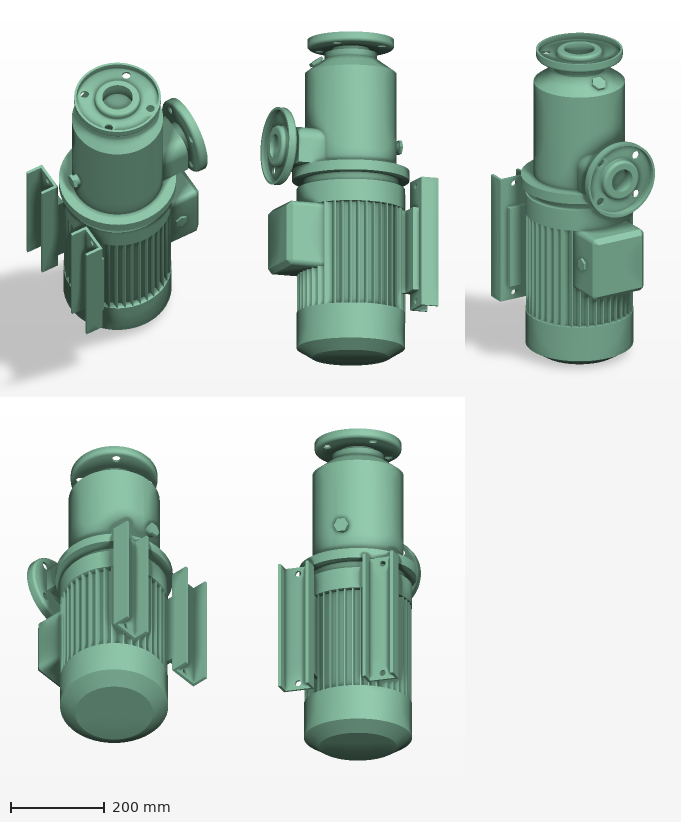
import cadquery as cq
import math

TOTAL_HEIGHT = 690.5
COWL_CONE_TOP = 20.0
COWL_TOP = 97.0
FINS_TOP = 319.0
MOTOR_BODY_TOP = 365.0
FLANGE_BOTTOM = 384.0
FLANGE_TOP = 405.0
BARREL_TOP = 617.0
SHOULDER_TOP = 648.0
HUB_TOP = 661.0

COWL_BASE_RADIUS = 83.0
COWL_RADIUS = 115.0
MOTOR_NECK_RADIUS = 101.5
FLANGE_RADIUS = 125.0

FIN_ROOT_RADIUS = 101.0
FIN_TIP_RADIUS = 114.0
FIN_THICKNESS = 2.0
FIN_PITCH_ANGLE = 8.6
FINS_PER_HALF_SIDE = 5

EMBED = 7.0

BOX_WIDTH = 127.0
BOX_OUTER_Y = 168.5
BOX_TOP = FINS_TOP
BOX_BOTTOM = 179.5
BOX_ROUND = 11.0
BOX_CHAMFER = 10.5
GLAND_FLATS = 25.0
GLAND_LENGTH = 5.0
GLAND_Y = 119.0

CHANNEL_OUTER_X = 129.0
CHANNEL_WIDTH = 68.5
CHANNEL_THICKNESS = 6.0
CHANNEL_WEB_Y = -111.0
CHANNEL_TIP_Y = -150.0
CHANNEL_TOP = 378.0
CHANNEL_BOTTOM = 99.5
CHANNEL_HOLE_DIAMETER = 13.0
CHANNEL_HOLE_INSET = 14.5

PAD_OUTER_X = 113.0
PAD_TOP_Y = -98.0
PAD_TOP = 313.5
PAD_BOTTOM = 134.5
LEG_THICKNESS = 9.0
LEG_ROOT_Y = -69.0

BARREL_RADIUS = 97.5
HUB_RADIUS = 56.0

SHEET = 5.0
DISH_HEIGHT = 19.0
DISH_ROUND = 6.0
BOLT_HOLE_DIAMETER = 18.0
BOLT_COUNT = 4
FACE_ROUND = 6.0
FLOOR_ROUND = 3.0
BORE_DEPTH = 31.0

INLET_RADIUS = 92.5
INLET_BOLT_CIRCLE = 145.0
INLET_FACE_RADIUS = 48.0
INLET_BORE_RADIUS = 32.5
INLET_NECK_RADIUS = 39.5
INLET_NECK_ROOT_RADIUS = 43.5

OUTLET_RADIUS = 83.0
OUTLET_BOLT_CIRCLE = 125.0
OUTLET_FACE_RADIUS = 43.5
OUTLET_BORE_RADIUS = 25.5
OUTLET_NECK_RADIUS = 34.5
OUTLET_Z = 447.5
OUTLET_FACE_Y = 175.5
OUTLET_RIM_SETBACK = 1.5

BRANCH_WIDTH = 110.5
BRANCH_TOP = 486.0
BRANCH_ROUND = 30.0
BRANCH_OUTER_Y = 141.0

PLUG_FLATS = 28.0
PLUG_STEM_DIAMETER = 24.0
PLUG_HEAD = 7.0
DRAIN_Z = 465.5
DRAIN_STAND_OFF = 10.0
VENT_RADIUS = 76.0
VENT_STAND_OFF = 2.0


def cylinder(radius, bottom, top):
    return cq.Workplane("XY").workplane(offset=bottom).circle(radius).extrude(top - bottom)


def block(x_range, y_range, z_range):
    size = [high - low for low, high in (x_range, y_range, z_range)]
    corner = (x_range[0], y_range[0], z_range[0])
    return cq.Workplane("XY").box(*size, centered=False).translate(corner)


def hexagon(plane, flats, length):
    """Hexagonal prism with two corners on the local X axis of the plane."""
    return cq.Workplane(plane).polygon(6, flats / math.cos(math.pi / 6)).extrude(length)


def motor_core():
    profile = [
        (0, 0),
        (COWL_BASE_RADIUS, 0),
        (COWL_RADIUS, COWL_CONE_TOP),
        (COWL_RADIUS, COWL_TOP),
        (FIN_ROOT_RADIUS, COWL_TOP),
        (FIN_ROOT_RADIUS, FINS_TOP),
        (COWL_RADIUS, FINS_TOP),
        (COWL_RADIUS, MOTOR_BODY_TOP),
        (MOTOR_NECK_RADIUS, MOTOR_BODY_TOP),
        (MOTOR_NECK_RADIUS, FLANGE_BOTTOM),
        (FLANGE_RADIUS, FLANGE_BOTTOM),
        (FLANGE_RADIUS, FLANGE_TOP),
        (0, FLANGE_TOP),
    ]
    return cq.Workplane("XZ").polyline(profile).close().revolve(360, (0, 0, 0), (0, 1, 0))


def cooling_fins():
    """Parallel plates on each of the four sides, cut to a common tip radius."""
    plates = cq.Workplane("XY")
    for side in range(4):
        for index in range(-FINS_PER_HALF_SIDE, FINS_PER_HALF_SIDE):
            offset = FIN_TIP_RADIUS * math.sin(math.radians((index + 0.5) * FIN_PITCH_ANGLE))
            inner = math.sqrt(FIN_ROOT_RADIUS**2 - offset**2) - EMBED
            plate = block(
                (offset - FIN_THICKNESS / 2, offset + FIN_THICKNESS / 2),
                (inner, FIN_TIP_RADIUS),
                (COWL_TOP, FINS_TOP),
            )
            plates = plates.add(plate.rotate((0, 0, 0), (0, 0, 1), 90 * side))
    return plates.combine().intersect(cylinder(FIN_TIP_RADIUS, COWL_TOP, FINS_TOP))


def terminal_box():
    half = BOX_WIDTH / 2
    box = block((-half, half), (0, BOX_OUTER_Y), (BOX_BOTTOM, BOX_TOP))
    box = box.edges("|Y").fillet(BOX_ROUND).faces(">Y").chamfer(BOX_CHAMFER)
    box = box.cut(cylinder(FIN_ROOT_RADIUS - EMBED, BOX_BOTTOM, BOX_TOP))
    gland_z = (BOX_BOTTOM + BOX_TOP) / 2
    plane = cq.Plane(origin=(half, GLAND_Y, gland_z), xDir=(0, 0, 1), normal=(1, 0, 0))
    return box.union(hexagon(plane, GLAND_FLATS, GLAND_LENGTH))


def mounting_foot():
    """Channel rail, pad and leg on the +X side."""
    inner_x = CHANNEL_OUTER_X - CHANNEL_WIDTH
    x_range = (inner_x, CHANNEL_OUTER_X)
    z_range = (CHANNEL_BOTTOM, CHANNEL_TOP)
    channel = block(x_range, (CHANNEL_TIP_Y, CHANNEL_WEB_Y), z_range).cut(
        block(
            (inner_x + CHANNEL_THICKNESS, CHANNEL_OUTER_X - CHANNEL_THICKNESS),
            (CHANNEL_TIP_Y, CHANNEL_WEB_Y - CHANNEL_THICKNESS),
            z_range,
        )
    )
    middle_x = (inner_x + CHANNEL_OUTER_X) / 2
    holes = (
        cq.Workplane("XZ", origin=(0, CHANNEL_WEB_Y, 0))
        .pushPoints([
            (middle_x, CHANNEL_BOTTOM + CHANNEL_HOLE_INSET),
            (middle_x, CHANNEL_TOP - CHANNEL_HOLE_INSET),
        ])
        .circle(CHANNEL_HOLE_DIAMETER / 2)
        .extrude(CHANNEL_THICKNESS)
    )
    pad_z = (PAD_BOTTOM, PAD_TOP)
    pad = block((inner_x, PAD_OUTER_X), (CHANNEL_WEB_Y, PAD_TOP_Y), pad_z)
    leg = block((inner_x, inner_x + LEG_THICKNESS), (CHANNEL_WEB_Y, LEG_ROOT_Y), pad_z)
    return channel.cut(holes).union(pad).union(leg)


def build_motor():
    foot = mounting_foot()
    return (
        motor_core()
        .union(cooling_fins())
        .union(terminal_box())
        .union(foot)
        .union(foot.mirror("YZ"))
    )


def pump_casing():
    profile = [
        (0, FLANGE_TOP),
        (BARREL_RADIUS, FLANGE_TOP),
        (BARREL_RADIUS, BARREL_TOP),
        (HUB_RADIUS, SHOULDER_TOP),
        (HUB_RADIUS, HUB_TOP),
        (0, HUB_TOP),
    ]
    return cq.Workplane("XZ").polyline(profile).close().revolve(360, (0, 0, 0), (0, 1, 0))


def outlet_branch():
    half = BRANCH_WIDTH / 2
    branch = block((-half, half), (0, BRANCH_OUTER_Y), (FLANGE_TOP, BRANCH_TOP))
    return branch.faces(">Z").edges("|Y").fillet(BRANCH_ROUND)


def pipe_flange(radius, face_radius, bolt_circle, setback):
    """Dished flange on the Z axis; its sealing face is at Z = 0, facing +Z."""
    rim = -setback
    back = rim - DISH_HEIGHT
    dish = cylinder(radius, back, rim).faces("<Z").edges().fillet(DISH_ROUND)
    dish = dish.cut(cylinder(radius - SHEET, back + SHEET, rim))
    face = cylinder(face_radius, back, 0).faces(">Z").edges().fillet(FACE_ROUND)
    floor_circles = cq.selectors.BoxSelector(
        (-radius, -radius, back + SHEET - FLOOR_ROUND), (radius, radius, back + SHEET + FLOOR_ROUND)
    )
    dish = dish.union(face).edges(floor_circles).fillet(FLOOR_ROUND)
    bolts = (
        cq.Workplane("XY", origin=(0, 0, back))
        .polarArray(bolt_circle / 2, 180 / BOLT_COUNT, 360, BOLT_COUNT)
        .circle(BOLT_HOLE_DIAMETER / 2)
        .extrude(DISH_HEIGHT)
    )
    return dish.cut(bolts)


def inlet_flange():
    flange = pipe_flange(INLET_RADIUS, INLET_FACE_RADIUS, INLET_BOLT_CIRCLE, 0)
    return flange.translate((0, 0, TOTAL_HEIGHT))


def outlet_flange():
    flange = pipe_flange(
        OUTLET_RADIUS, OUTLET_FACE_RADIUS, OUTLET_BOLT_CIRCLE, OUTLET_RIM_SETBACK
    )
    return flange.rotate((0, 0, 0), (1, 0, 0), -90).translate((0, OUTLET_FACE_Y, OUTLET_Z))


def inlet_neck():
    """Cone between the hub and the inlet flange."""
    length = TOTAL_HEIGHT - DISH_HEIGHT - HUB_TOP
    return (
        cq.Workplane("XY", origin=(0, 0, HUB_TOP))
        .circle(INLET_NECK_ROOT_RADIUS)
        .workplane(offset=length)
        .circle(INLET_NECK_RADIUS)
        .loft()
    )


def outlet_neck():
    length = OUTLET_FACE_Y - OUTLET_RIM_SETBACK - DISH_HEIGHT - BRANCH_OUTER_Y
    plane = cq.Plane(origin=(0, BRANCH_OUTER_Y, OUTLET_Z), xDir=(1, 0, 0), normal=(0, 1, 0))
    return cq.Workplane(plane).circle(OUTLET_NECK_RADIUS).extrude(length)


def inlet_bore():
    return cylinder(INLET_BORE_RADIUS, TOTAL_HEIGHT - BORE_DEPTH, TOTAL_HEIGHT)


def outlet_bore():
    plane = cq.Plane(origin=(0, OUTLET_FACE_Y, OUTLET_Z), xDir=(1, 0, 0), normal=(0, -1, 0))
    return cq.Workplane(plane).circle(OUTLET_BORE_RADIUS).extrude(BORE_DEPTH)


def hex_plug(seat, outward, stand_off):
    """Plug on the casing: the stem starts inside the wall, the head stands off from the seat."""
    axis = cq.Vector(*outward).normalized()
    seat = cq.Vector(*seat)
    stem_plane = cq.Plane(origin=seat - axis * EMBED, xDir=(1, 0, 0), normal=axis)
    head_plane = cq.Plane(origin=seat + axis * stand_off, xDir=(1, 0, 0), normal=axis)
    stem = cq.Workplane(stem_plane).circle(PLUG_STEM_DIAMETER / 2).extrude(stand_off + EMBED)
    return stem.union(hexagon(head_plane, PLUG_FLATS, PLUG_HEAD))


def drain_plug():
    return hex_plug((0, -BARREL_RADIUS, DRAIN_Z), (0, -1, 0), DRAIN_STAND_OFF)


def vent_plug():
    rise = SHOULDER_TOP - BARREL_TOP
    run = BARREL_RADIUS - HUB_RADIUS
    seat_z = BARREL_TOP + (BARREL_RADIUS - VENT_RADIUS) * rise / run
    return hex_plug((0, VENT_RADIUS, seat_z), (0, rise, run), VENT_STAND_OFF)


def build_pump():
    return (
        pump_casing()
        .union(outlet_branch())
        .union(inlet_neck())
        .union(outlet_neck())
        .union(inlet_flange())
        .union(outlet_flange())
        .cut(inlet_bore())
        .cut(outlet_bore())
        .union(drain_plug())
        .union(vent_plug())
    )


motor = build_motor()
pump = build_pump()
result = cq.Compound.makeCompound([*motor.solids().vals(), *pump.solids().vals()])